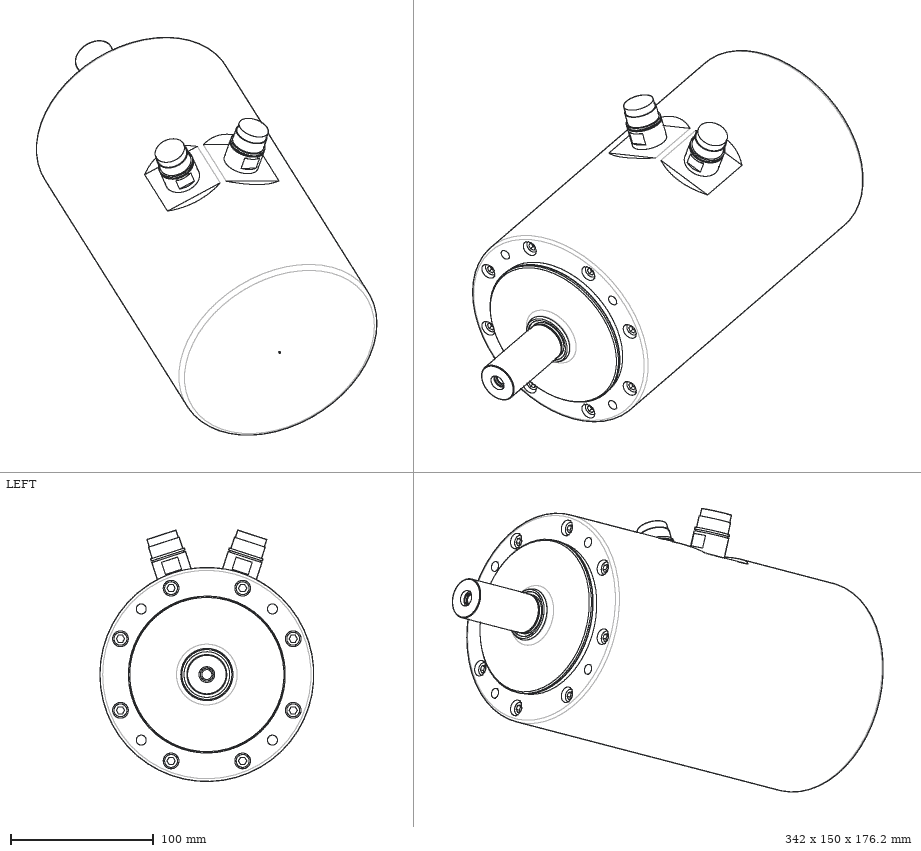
import cadquery as cq
import math


body_diameter = 150
body_length = 266
front_edge_radius = 2
rear_edge_radius = 3

tip_diameter = 1
tip_length = 1

pilot_diameter = 110
pilot_length = 6.8
pilot_chamfer = 1
relief_diameter = 109.2
relief_length = 4

cover_height = 9.4
neck_diameter = 36.6
neck_end_diameter = 35
neck_taper_length = 2
neck_length = 15
neck_fillet = 3
seal_recess_diameter = 32
seal_recess_depth = 1

shaft_diameter = 28
shaft_reach = 75
shaft_chamfer = 0.5
groove_diameter = 27.5
groove_gap = 1
groove_length = 1

centre_mouth_diameter = 11
centre_mouth_depth = 3.5
centre_counterbore_diameter = 9
centre_counterbore_depth = 5
centre_drill_diameter = 6.99
centre_drill_depth = 20
drill_point_angle = 118

screw_count = 8
screw_circle_diameter = 131
screw_bore_diameter = 11
screw_bore_depth = 8
screw_head_diameter = 9
screw_head_recess = 3
hex_width = 5
hex_depth = 3
mount_hole_count = 4
mount_circle_diameter = 130
mount_hole_diameter = 6.99
mount_hole_depth = 15

connector_x = 142
connector_tilt = 18
flat_distance = 72
flat_length = 42
flat_top_length = 58

base_diameter = 25
base_height = 14.5
flat_width = 22
flat_bottom = 3.6
flat_height = 9
groove_ring_diameter = 23
groove_ring_top = 15.7
collar_top = 17.2
sleeve_diameter = 22.7
sleeve_top = 25.5
cap_diameter = 21.5
connector_height = 30.96


def rod(x_start, x_end, diameter):
    """Round bar on the motor axis."""
    return cq.Workplane("YZ").workplane(offset=x_start).circle(diameter / 2).extrude(x_end - x_start)


def drilled_hole(diameter, depth):
    """Blind hole along +X from the origin, ending in a drill point."""
    radius = diameter / 2
    point_length = radius / math.tan(math.radians(drill_point_angle / 2))
    profile = [(0, 0), (0, radius), (depth, radius), (depth + point_length, 0)]
    return cq.Workplane("XY").polyline(profile).close().revolve(360, (0, 0, 0), (1, 0, 0))


def hole_places(count, circle_diameter):
    """(y, z) places around a hole circle, starting half a step from the Y axis."""
    step = 2 * math.pi / count
    radius = circle_diameter / 2
    angles = [step * (i + 0.5) for i in range(count)]
    return [(radius * math.cos(a), radius * math.sin(a)) for a in angles]


def make_shell():
    """Cylindrical casing with rounded ends and the small rear tip."""
    shell = rod(0, body_length, body_diameter)
    shell = shell.faces("<X").edges().fillet(front_edge_radius)
    shell = shell.faces(">X").edges().fillet(rear_edge_radius)
    return shell.union(rod(body_length, body_length + tip_length, tip_diameter))


def make_front():
    """Pilot, conical cover, neck and shaft as one turned shape."""
    pilot_radius = pilot_diameter / 2
    neck_radius = neck_diameter / 2
    shaft_radius = shaft_diameter / 2
    recess_radius = seal_recess_diameter / 2
    recess_floor = -neck_length + seal_recess_depth
    groove_back = -neck_length - groove_gap
    groove_front = groove_back - groove_length
    profile = (
        cq.Workplane("XY")
        .moveTo(front_edge_radius, 0)
        .lineTo(front_edge_radius, relief_diameter / 2)
        .lineTo(-relief_length, relief_diameter / 2)
        .lineTo(-relief_length, pilot_radius)
        .lineTo(-pilot_length + pilot_chamfer, pilot_radius)
        .lineTo(-pilot_length, pilot_radius - pilot_chamfer)
        .lineTo(-cover_height, neck_radius + neck_fillet)
        .radiusArc((-cover_height - neck_fillet, neck_radius), neck_fillet)
        .lineTo(-neck_length + neck_taper_length, neck_radius)
        .lineTo(-neck_length, neck_end_diameter / 2)
        .lineTo(-neck_length, recess_radius)
        .lineTo(recess_floor, recess_radius)
        .lineTo(recess_floor, shaft_radius)
        .lineTo(groove_back, shaft_radius)
        .lineTo(groove_back, groove_diameter / 2)
        .lineTo(groove_front, groove_diameter / 2)
        .lineTo(groove_front, shaft_radius)
        .lineTo(-shaft_reach + shaft_chamfer, shaft_radius)
        .lineTo(-shaft_reach, shaft_radius - shaft_chamfer)
        .lineTo(-shaft_reach, 0)
        .close()
    )
    return profile.revolve(360, (0, 0, 0), (1, 0, 0))


def make_centre_hole():
    """Stepped centre hole that opens at the shaft end."""
    mouth = rod(0, centre_mouth_depth, centre_mouth_diameter)
    hole = mouth.union(rod(0, centre_counterbore_depth, centre_counterbore_diameter))
    hole = hole.union(drilled_hole(centre_drill_diameter, centre_drill_depth))
    return hole.translate((-shaft_reach, 0, 0))


def make_screw_recess():
    """Space around and inside one sunken hexagon-socket screw."""
    recess = rod(0, screw_bore_depth, screw_bore_diameter)
    recess = recess.cut(rod(screw_head_recess, screw_bore_depth, screw_head_diameter))
    socket = (
        cq.Workplane("YZ")
        .workplane(offset=screw_head_recess)
        .polygon(6, hex_width / math.cos(math.pi / 6))
        .extrude(hex_depth)
    )
    return recess.union(socket)


def on_flat(body, side):
    """Tilt an upright body about the motor axis toward +Y (side 1) or -Y (side -1)."""
    return body.rotate((0, 0, 0), (1, 0, 0), -side * connector_tilt)


def make_flat_cut():
    """Trough with sloping ends that leaves a flat for one connector."""
    rise = body_diameter / 2 - flat_distance
    half_floor = flat_length / 2
    half_top = flat_top_length / 2
    profile = [
        (connector_x - half_floor, flat_distance),
        (connector_x + half_floor, flat_distance),
        (connector_x + half_top, flat_distance + rise),
        (connector_x - half_top, flat_distance + rise),
    ]
    return cq.Workplane("XZ").polyline(profile).close().extrude(body_diameter / 2, both=True)


def make_motor():
    """Casing, front cover and shaft as one solid with all holes and connector flats."""
    motor = make_shell().union(make_front()).cut(make_centre_hole())
    screw_recess = make_screw_recess()
    for y, z in hole_places(screw_count, screw_circle_diameter):
        motor = motor.cut(screw_recess.translate((0, y, z)))
    mount_hole = drilled_hole(mount_hole_diameter, mount_hole_depth)
    for y, z in hole_places(mount_hole_count, mount_circle_diameter):
        motor = motor.cut(mount_hole.translate((0, y, z)))
    for side in (1, -1):
        motor = motor.cut(on_flat(make_flat_cut(), side))
    return motor


def make_connector(side):
    """Stepped round plug with two wrench flats on its base, standing on its flat."""
    steps = [
        (0, base_height, base_diameter),
        (base_height, groove_ring_top, groove_ring_diameter),
        (groove_ring_top, collar_top, base_diameter),
        (collar_top, sleeve_top, sleeve_diameter),
        (sleeve_top, connector_height, cap_diameter),
    ]
    connector = cq.Workplane("XY")
    for bottom, top, diameter in steps:
        step = cq.Workplane("XY").workplane(offset=bottom).circle(diameter / 2).extrude(top - bottom)
        connector = connector.union(step)
    for direction in (1, -1):
        cutter = cq.Workplane("XY").box(flat_width, base_diameter, flat_height, centered=(True, True, False))
        connector = connector.cut(cutter.translate((direction * flat_width, 0, flat_bottom)))
    return on_flat(connector.translate((connector_x, 0, flat_distance)), side)


motor = make_motor()
connectors = [make_connector(side) for side in (1, -1)]

result = cq.Compound.makeCompound([motor.val(), *[connector.val() for connector in connectors]])